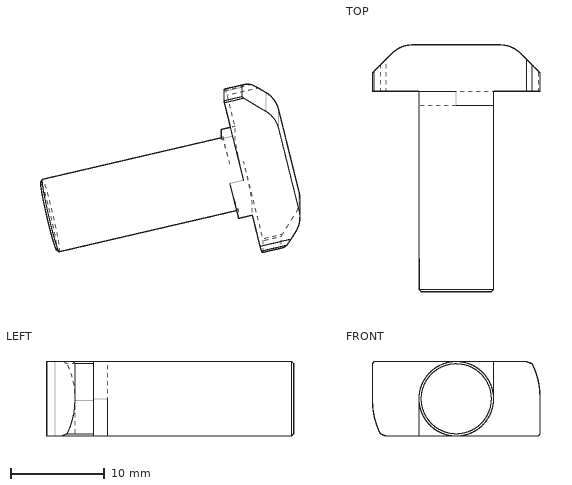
import cadquery as cq

overall_length = 26.5
head_width = 18.0
diameter = 8.0
head_depth = 5.0
head_side_depth = 2.0
shoulder_radius = 3.0
neck_depth = 1.5
tip_chamfer = 0.25
square_corner_width = 0.15
square_corner_height = 0.25
round_end_start = 0.19
round_end_inset = 0.85
round_corner_width = 0.6
round_corner_height = 0.25

half_width = head_width / 2
radius = diameter / 2
head_front = overall_length - head_depth


def make_head_side_profile():
    """T-head outline in XY, with 45 degree shoulders rounded into the back face."""
    slope = head_depth - head_side_depth
    profile = (
        cq.Workplane("XY")
        .workplane(offset=-radius)
        .moveTo(-half_width, head_front)
        .lineTo(half_width, head_front)
        .lineTo(half_width, head_front + head_side_depth)
        .lineTo(half_width - slope, overall_length)
        .lineTo(-half_width + slope, overall_length)
        .lineTo(-half_width, head_front + head_side_depth)
        .close()
        .extrude(diameter)
    )
    return profile.faces(">Y").edges("|Z").fillet(shoulder_radius)


def make_head_end_profile():
    """Head outline in XZ: two opposite corners rounded, the other two bevelled."""
    arc_end_x = half_width - round_end_inset
    arc_end_z = radius - round_corner_height
    square_x = half_width - square_corner_width
    square_z = radius - square_corner_height
    return (
        cq.Workplane("XZ", origin=(0, overall_length, 0))
        .moveTo(half_width, -square_z)
        .lineTo(half_width, round_end_start)
        .tangentArcPoint((arc_end_x, arc_end_z), relative=False)
        .lineTo(arc_end_x - round_corner_width, radius)
        .lineTo(-square_x, radius)
        .lineTo(-half_width, square_z)
        .lineTo(-half_width, -round_end_start)
        .tangentArcPoint((-arc_end_x, -arc_end_z), relative=False)
        .lineTo(-arc_end_x + round_corner_width, -radius)
        .lineTo(square_x, -radius)
        .close()
        .extrude(head_depth)
    )


def make_shank():
    return (
        cq.Workplane("XZ")
        .circle(radius)
        .extrude(-head_front)
        .faces("<Y")
        .chamfer(tip_chamfer)
    )


def make_neck_quarter(side):
    """Square quarter of the neck; side is +1 for +X+Z and -1 for -X-Z."""
    return cq.Workplane("XY").box(radius, neck_depth, radius).translate(
        (side * radius / 2, head_front - neck_depth / 2, side * radius / 2)
    )


head = make_head_side_profile().intersect(make_head_end_profile())
result = head.union(make_shank())
for side in (1, -1):
    result = result.union(make_neck_quarter(side))